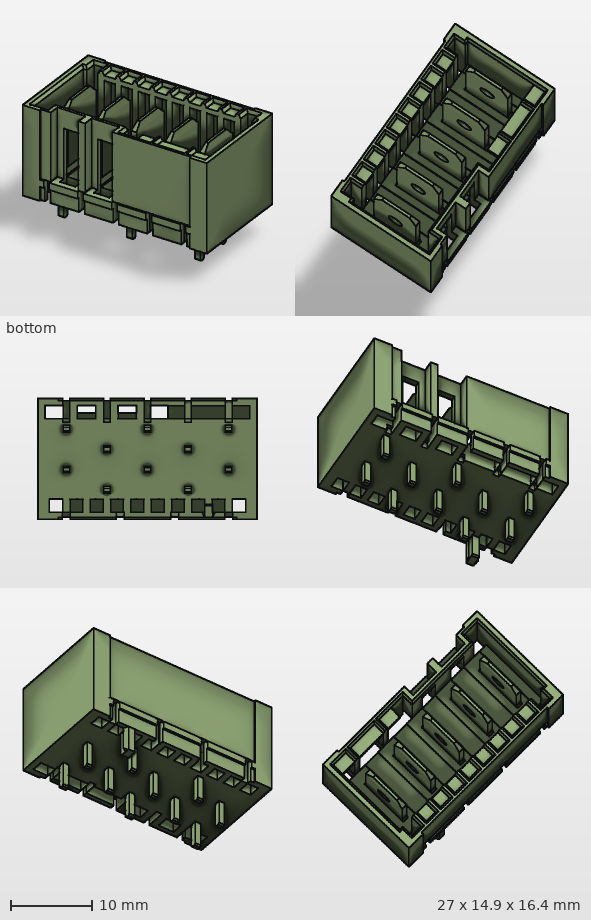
import cadquery as cq
import math

LENGTH = 27.0
WIDTH = 14.9
HEIGHT = 12.8
OUTER_Y = WIDTH / 2

CAVITY_X = 12.6
FLOOR_Y = 4.95
POCKET_Y = 6.55
BACK_POCKET_X = 12.07
LEAD_WIDTH = 0.28
LEAD_DEPTH = 0.5
LEAD_Z = HEIGHT - LEAD_DEPTH

BAND_X = 11.0
BAND_DEPTH = 0.27
LEDGE_BOTTOM = 2.0
LEDGE_TOP = 3.0

PITCH = 5.0
CONTACT_XS = [PITCH * i for i in range(-2, 3)]
BLADE_THICKNESS = 0.8
BLADE_TOP = 12.1
BLADE_CENTER_Y = 0.05
BLADE_HALF = 3.15
BLADE_FLARE = 0.22
BLADE_FOOT_HEIGHT = 0.6
BLADE_END_RUN = 1.1
BLADE_SIDE_RUN = 0.2
BLADE_BEVEL_DROP = 1.0
BLADE_HOLE_DIAMETER = 2.0
BLADE_HOLE_Z = 7.8
LEG_WIDTH = 0.85
LEG_LENGTH = 3.6
LEG_TIP_CHAMFER = 0.2
LEG_SPACING = 5.0
LEG_STAGGER = LEG_SPACING / 2
FIRST_LEG_Y = -3.68

FLOOR_TOP = 3.0
RAISED_TOP = 3.25
RAISED_WIDTH = 2.76

BACK_RIB_PITCH = PITCH / 2
BACK_RIB_COUNT = 9
BACK_RIB_WIDTH = 0.92
FRONT_RIB_XS = [PITCH, 2 * PITCH]
FRONT_RIB_WIDTH = 0.83
CAP_THICKNESS = 0.73
FRONT_CAP_START_X = 2.5

LATCH_X_MIN = -10.4
LATCH_X_MAX = 0.4
RECESS_SPANS = [(-9.55, -5.48), (-4.52, -0.5)]
RECESS_WALL = 0.7
WINDOW_XS = [-1.5 * PITCH, -0.5 * PITCH]
WINDOW_WIDTH = PITCH - RAISED_WIDTH
WINDOW_TOP = 10.1

FRONT_NOTCH_WIDTH = 0.82
GROOVE_TOP = 1.0
GROOVE_LENGTH = 0.45
BACK_NOTCH_WIDTH = 0.97
BACK_NOTCH_COUNT = 4
BACK_NOTCH_PITCH = (CONTACT_XS[-1] - CONTACT_XS[0]) / (BACK_NOTCH_COUNT - 1)
BACK_NOTCH_TOP = 3.3

PEG_X = 7.52
PEG_FRONT = 5.57
PEG_SHOULDER = 6.55
PEG_BACK = 7.2
PEG_STEM_HALF = 0.5
PEG_BAR_HALF = 0.83
PEG_SIDE_ANGLE = 30
PEG_TIP_HEIGHT = 0.45
PEG_STEM_CHAMFER = 0.2


def box(x0, x1, y0, y1, z0, z1):
    """Box between opposite corners."""
    return cq.Workplane("XY").box(x1 - x0, y1 - y0, z1 - z0, centered=False).translate((x0, y0, z0))


def frustum(x0, x1, y0, y1, z0, z1, grow_x, grow_y):
    """Rectangle lofted upwards while each side moves out by grow_x or grow_y."""
    return (
        cq.Workplane("XY", origin=((x0 + x1) / 2, (y0 + y1) / 2, z0))
        .rect(x1 - x0, y1 - y0)
        .workplane(offset=z1 - z0)
        .rect(x1 - x0 + 2 * grow_x, y1 - y0 + 2 * grow_y)
        .loft()
    )


def flared_opening(x0, x1, y0, y1):
    """Full-height opening that widens in the lead-in zone at the top."""
    shaft = box(x0, x1, y0, y1, 0, HEIGHT)
    return shaft.union(frustum(x0, x1, y0, y1, LEAD_Z, HEIGHT, LEAD_WIDTH, LEAD_WIDTH))


def rib(x, width, y0, y1):
    """Full-height rib across a pocket row, narrowing in the lead-in zone."""
    half = width / 2
    shaft = box(x - half, x + half, y0, y1, 0, LEAD_Z)
    return shaft.union(frustum(x - half, x + half, y0, y1, LEAD_Z, HEIGHT, -LEAD_WIDTH, 0))


def make_shell():
    """Outer walls with the cavity and the recessed outer bands."""
    shell = box(-LENGTH / 2, LENGTH / 2, -OUTER_Y, OUTER_Y, 0, HEIGHT)
    shell = shell.cut(flared_opening(-CAVITY_X, CAVITY_X, -POCKET_Y, FLOOR_Y))
    shell = shell.cut(flared_opening(-BACK_POCKET_X, BACK_POCKET_X, 0, POCKET_Y))
    inner = OUTER_Y - BAND_DEPTH
    for y0, y1 in [(-OUTER_Y, -inner), (inner, OUTER_Y)]:
        shell = shell.cut(box(-BAND_X, BAND_X, y0, y1, 0, LEDGE_BOTTOM))
        shell = shell.cut(box(-BAND_X, BAND_X, y0, y1, LEDGE_TOP, HEIGHT))
    return shell


def make_floor():
    """Floor slab with a raised band around each contact."""
    floor = box(-CAVITY_X, CAVITY_X, -FLOOR_Y, FLOOR_Y, 0, FLOOR_TOP)
    half = RAISED_WIDTH / 2
    for x in CONTACT_XS:
        floor = floor.union(box(x - half, x + half, -FLOOR_Y, FLOOR_Y, 0, RAISED_TOP))
    return floor


def make_pocket_rows():
    """Ribs along both long walls and the caps just below the rim."""
    cap_bottom = LEAD_Z - CAP_THICKNESS
    wall_middle = (POCKET_Y + OUTER_Y - BAND_DEPTH) / 2
    back_end = BACK_RIB_PITCH * (BACK_RIB_COUNT - 1) / 2
    rows = box(-back_end, back_end, FLOOR_Y, POCKET_Y, cap_bottom, LEAD_Z)
    rows = rows.union(box(FRONT_CAP_START_X, CAVITY_X, -POCKET_Y, -FLOOR_Y, cap_bottom, LEAD_Z))
    for i in range(BACK_RIB_COUNT):
        rows = rows.union(rib(i * BACK_RIB_PITCH - back_end, BACK_RIB_WIDTH, FLOOR_Y, wall_middle))
    for x in FRONT_RIB_XS:
        rows = rows.union(rib(x, FRONT_RIB_WIDTH, -wall_middle, -FLOOR_Y))
    return rows


def make_latch_block():
    """Block joined to the front wall that holds the two latch recesses."""
    front = OUTER_Y - BAND_DEPTH
    block = box(LATCH_X_MIN, LATCH_X_MAX, -front, -FLOOR_Y, 0, LEAD_Z)
    lead_in = frustum(LATCH_X_MIN, LATCH_X_MAX, -2 * front + FLOOR_Y, -FLOOR_Y,
                      LEAD_Z, HEIGHT, -LEAD_WIDTH, -LEAD_WIDTH)
    lead_in = lead_in.intersect(box(LATCH_X_MIN, LATCH_X_MAX, -front, -FLOOR_Y, LEAD_Z, HEIGHT))
    return block.union(lead_in)


def cut_latches(body):
    """Open the recesses to the front, with windows that drop through the sill."""
    recess_back = -FLOOR_Y - RECESS_WALL
    for x0, x1 in RECESS_SPANS:
        body = body.cut(box(x0, x1, -OUTER_Y, recess_back, LEDGE_TOP, HEIGHT))
    half = WINDOW_WIDTH / 2
    for x in WINDOW_XS:
        body = body.cut(box(x - half, x + half, -POCKET_Y, -FLOOR_Y, 0, WINDOW_TOP))
    return body


def cut_notches(body):
    """Notch the foot of the front wall at each contact, and the back wall at four places."""
    half = FRONT_NOTCH_WIDTH / 2
    for x in CONTACT_XS:
        body = body.cut(box(x - half, x + half, -OUTER_Y, -FLOOR_Y, 0, LEDGE_TOP))
        body = body.cut(box(x - half, x + half, -FLOOR_Y, GROOVE_LENGTH - FLOOR_Y, 0, GROOVE_TOP))
    half = BACK_NOTCH_WIDTH / 2
    for i in range(BACK_NOTCH_COUNT):
        x = CONTACT_XS[0] + i * BACK_NOTCH_PITCH
        body = body.cut(box(x - half, x + half, POCKET_Y, OUTER_Y, 0, BACK_NOTCH_TOP))
    return body


def make_blade(x):
    """Flat blade with a bevelled tip, a cross hole and a flared foot."""
    half = BLADE_THICKNESS / 2
    shoulder = BLADE_TOP - BLADE_BEVEL_DROP
    y0 = BLADE_CENTER_Y - BLADE_HALF
    y1 = BLADE_CENTER_Y + BLADE_HALF
    blade = box(x - half, x + half, y0, y1, FLOOR_TOP, shoulder)
    tip = frustum(x - half, x + half, y0, y1, shoulder, BLADE_TOP, -BLADE_SIDE_RUN, -BLADE_END_RUN)
    foot = frustum(x - half, x + half, y0 - BLADE_FLARE, y1 + BLADE_FLARE,
                   RAISED_TOP, RAISED_TOP + BLADE_FOOT_HEIGHT, 0, -BLADE_FLARE)
    blade = blade.union(tip).union(foot)
    hole = (
        cq.Workplane("YZ", origin=(x - half, 0, BLADE_HOLE_Z))
        .circle(BLADE_HOLE_DIAMETER / 2)
        .extrude(BLADE_THICKNESS)
    )
    return blade.cut(hole)


def make_leg(x, y):
    """Solder leg running down from the floor, with a chamfered tip."""
    half_x = BLADE_THICKNESS / 2
    half_y = LEG_WIDTH / 2
    leg = box(x - half_x, x + half_x, y - half_y, y + half_y, -LEG_LENGTH, FLOOR_TOP)
    return leg.faces("<Z").edges("|X").chamfer(LEG_TIP_CHAMFER)


def make_contact(index):
    """Blade with two legs; the legs of every other contact are shifted along Y."""
    x = CONTACT_XS[index]
    leg_y = FIRST_LEG_Y + LEG_STAGGER * (index % 2)
    contact = make_blade(x)
    for y in [leg_y, leg_y + LEG_SPACING]:
        contact = contact.union(make_leg(x, y))
    return contact


def make_peg():
    """Locating peg below the back wall, its bar bevelled down to the stem width at the tip."""
    back_half = PEG_BAR_HALF - (PEG_BACK - PEG_SHOULDER) * math.tan(math.radians(PEG_SIDE_ANGLE))
    bar = (
        cq.Workplane("XY", origin=(PEG_X, 0, -LEG_LENGTH))
        .moveTo(-PEG_BAR_HALF, PEG_SHOULDER)
        .lineTo(PEG_BAR_HALF, PEG_SHOULDER)
        .lineTo(back_half, PEG_BACK)
        .lineTo(-back_half, PEG_BACK)
        .close()
        .extrude(LEG_LENGTH)
    )
    tip_top = PEG_TIP_HEIGHT - LEG_LENGTH
    bevel = frustum(PEG_X - PEG_STEM_HALF, PEG_X + PEG_STEM_HALF, PEG_SHOULDER, PEG_BACK,
                    -LEG_LENGTH, tip_top, PEG_BAR_HALF - PEG_STEM_HALF, 0)
    above_tip = box(PEG_X - PEG_BAR_HALF, PEG_X + PEG_BAR_HALF, PEG_SHOULDER, PEG_BACK, tip_top, 0)
    bar = bar.intersect(bevel.union(above_tip))
    stem = box(PEG_X - PEG_STEM_HALF, PEG_X + PEG_STEM_HALF, PEG_FRONT, PEG_SHOULDER, -LEG_LENGTH, 0)
    stem = stem.faces("<Z").edges("<Y").chamfer(PEG_STEM_CHAMFER)
    return stem.union(bar)


body = make_shell().union(make_latch_block()).union(make_pocket_rows()).union(make_floor())
body = cut_notches(cut_latches(body))
for contact_index in range(len(CONTACT_XS)):
    body = body.union(make_contact(contact_index))
result = body.union(make_peg())